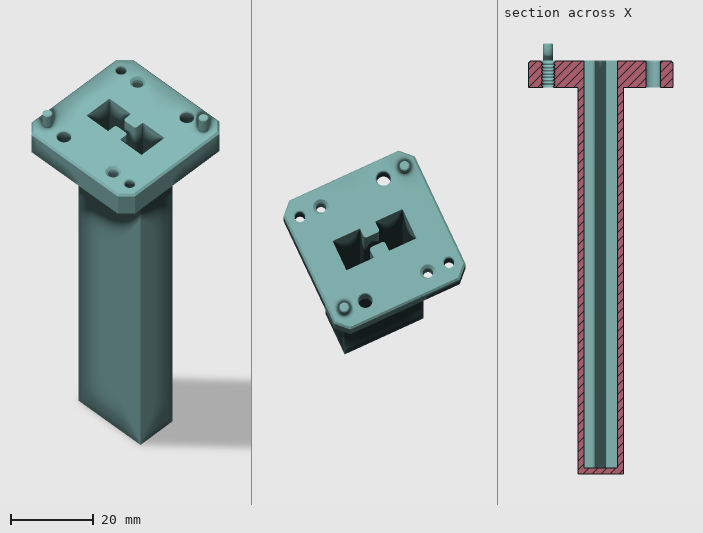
import cadquery as cq

flange_size = 35.0
flange_thickness = 6.6
corner_cut = 2.9
face_bevel = 0.5

body_width = 21.1
body_depth = 11.1

overall_height = 104.3
pin_height = 4.2
face_z = overall_height - pin_height
flange_bottom_z = face_z - flange_thickness

cavity_width = 18.7
cavity_height = 7.9
ridge_width = 4.1
ridge_gap = 2.6
ridge_tip_radius = 0.68
end_wall = (body_depth - cavity_height) / 2
cavity_depth = face_z - end_wall

hole_row_y = 12.7
inner_hole_x = 8.3
outer_hole_x = 14.0
clearance_diameter = 3.4
dowel_hole_diameter = 2.5
pin_diameter = 2.4
rim_chamfer = 0.24

thread_mouth_diameter = 3.9
thread_major_diameter = 3.2
thread_minor_diameter = 2.5
thread_pitch = 0.79
thread_turns = 7


def make_flange():
    """Square plate with cut corners and a bevelled mating face."""
    return (
        cq.Workplane("XY", origin=(0, 0, flange_bottom_z))
        .rect(flange_size, flange_size)
        .extrude(flange_thickness)
        .edges("|Z")
        .chamfer(corner_cut)
        .faces(">Z")
        .edges()
        .chamfer(face_bevel)
    )


def make_body():
    """Rectangular waveguide body, from the ground up to the flange."""
    return cq.Workplane("XY").rect(body_width, body_depth).extrude(flange_bottom_z)


def make_cavity():
    """Blind rectangular cavity narrowed by two facing ridges."""
    floor = cq.Workplane("XY", origin=(0, 0, end_wall))
    cavity = floor.rect(cavity_width, cavity_height).extrude(cavity_depth)
    ridges = floor.rect(ridge_width, cavity_height).extrude(cavity_depth)
    gap = floor.rect(ridge_width, ridge_gap).extrude(cavity_depth)
    tip_edges = cq.selectors.BoxSelector(
        (-ridge_width, -ridge_gap, 0), (ridge_width, ridge_gap, overall_height)
    )
    ridges = ridges.cut(gap).edges("|Z").edges(tip_edges).fillet(ridge_tip_radius)
    return cavity.cut(ridges)


def make_chamfered_holes(points, diameter):
    """Plain holes through the flange with a small chamfer at the mouth."""
    mouth = (
        cq.Workplane("XY", origin=(0, 0, face_z))
        .pushPoints(points)
        .circle(diameter / 2 + rim_chamfer)
        .extrude(-rim_chamfer, taper=45)
    )
    bore = (
        cq.Workplane("XY", origin=(0, 0, flange_bottom_z))
        .pushPoints(points)
        .circle(diameter / 2)
        .extrude(flange_thickness)
    )
    return bore.union(mouth)


def make_threaded_holes(points):
    """Through holes whose thread is a stack of ring grooves below a chamfered mouth."""
    minor_radius = thread_minor_diameter / 2
    major_radius = thread_major_diameter / 2
    mouth_radius = thread_mouth_diameter / 2
    first_root_z = face_z - (mouth_radius - major_radius)

    profile = [(0, face_z), (mouth_radius, face_z), (major_radius, first_root_z)]
    for turn in range(thread_turns):
        root_z = first_root_z - turn * thread_pitch
        profile.append((minor_radius, root_z - thread_pitch / 2))
        profile.append((major_radius, root_z - thread_pitch))
    end_root_z = first_root_z - thread_turns * thread_pitch
    profile.append((minor_radius, end_root_z - thread_pitch / 2))
    profile.append((minor_radius, flange_bottom_z))
    profile.append((0, flange_bottom_z))

    hole = cq.Workplane("XZ").polyline(profile).close().revolve(360, (0, 0), (0, 1))
    holes = cq.Workplane("XY")
    for x, y in points:
        holes = holes.union(hole.translate((x, y, 0)))
    return holes


def make_pins(points):
    """Dowel pins seated through the flange, their free ends chamfered."""
    return (
        cq.Workplane("XY", origin=(0, 0, flange_bottom_z))
        .pushPoints(points)
        .circle(pin_diameter / 2)
        .extrude(flange_thickness + pin_height)
        .faces(">Z")
        .edges()
        .chamfer(rim_chamfer)
    )


def diagonal_pair(x, y):
    """A point and its half-turn partner about the flange centre."""
    return [(x, y), (-x, -y)]


pin_points = diagonal_pair(outer_hole_x, hole_row_y)
dowel_points = diagonal_pair(-outer_hole_x, hole_row_y)
clearance_points = diagonal_pair(inner_hole_x, hole_row_y)
threaded_points = diagonal_pair(-inner_hole_x, hole_row_y)

result = (
    make_flange()
    .union(make_body())
    .cut(make_cavity())
    .cut(make_chamfered_holes(dowel_points, dowel_hole_diameter))
    .cut(make_chamfered_holes(clearance_points, clearance_diameter))
    .cut(make_threaded_holes(threaded_points))
    .union(make_pins(pin_points))
)